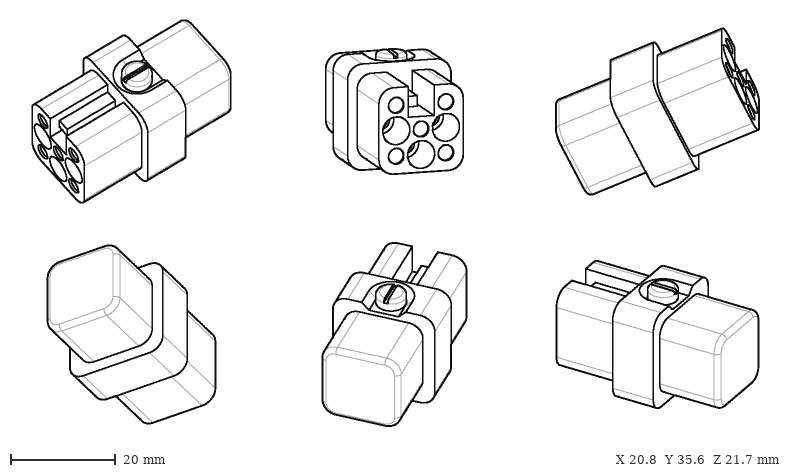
import cadquery as cq

LENGTH = 35.6
FRONT_LENGTH = 13.6
FLANGE_LENGTH = 9.0
FLANGE_SIZE = 20.8
FRONT_SIZE = 16.95
REAR_SIZE = 16.0
CORNER_RADIUS = 3.0
REAR_EDGE_FILLET = 1.0

flange_front = FRONT_LENGTH
flange_rear = flange_front + FLANGE_LENGTH
flange_top = FLANGE_SIZE / 2

SLOT_WIDTH = 5.15
SLOT_FLOOR_Z = 2.5
KEY_WIDTH = 2.53
KEY_HEIGHT = 2.05
KEY_BOTTOM_Z = 4.02
KEY_SETBACK = 2.17

PITCH = 5.0
SOCKET_DIAMETER = 5.4
SOCKET_DEPTH = 9.97
BORE_DIAMETER = 3.05
BORE_DEPTH = 2.15
BORE_CHAMFER = 0.32
DIMPLE_DEPTH = 0.5

SCREW_DIAMETER = 5.87
SCREW_PROTRUSION = 0.93
SCREW_FILLET = 0.7
SCREW_SLOT_WIDTH = 0.82
SCREW_SLOT_DEPTH = 0.7
SCREW_SETBACK = 3.95
RECESS_DEPTH = 1.5
RECESS_FLOOR_WIDTH = 6.0

screw_y = flange_rear - SCREW_SETBACK
recess_floor = flange_top - RECESS_DEPTH
recess_floor_radius = RECESS_FLOOR_WIDTH / 2
recess_top_radius = recess_floor_radius + RECESS_DEPTH

socket_points = [(-PITCH, 0), (PITCH, 0), (0, -PITCH)]
dimple_points = [(0, 0)] + [(x, z) for x in (-PITCH, PITCH) for z in (-PITCH, PITCH)]


def cross_section(y):
    """Sketch plane across the part at y, with local axes X and Z; extruding goes toward +Y."""
    return cq.Workplane(cq.Plane(origin=(0, y, 0), xDir=(1, 0, 0), normal=(0, -1, 0)))


def rounded_block(size, y_start, y_end):
    """Square bar between two Y positions with rounded long edges."""
    bar = cross_section(y_start).rect(size, size).extrude(y_start - y_end)
    return bar.edges("|Y").fillet(CORNER_RADIUS)


def box(x_range, y_range, z_range):
    """Box given by its limits along each axis."""
    sizes = [high - low for low, high in (x_range, y_range, z_range)]
    corner = (x_range[0], y_range[0], z_range[0])
    return cq.Workplane("XY").box(*sizes, centered=False).translate(corner)


def holes(points, diameter, y_start, depth):
    """Round holes along Y, opening at y_start."""
    return cross_section(y_start).pushPoints(points).circle(diameter / 2).extrude(-depth)


def housing():
    """Front block, flange and rear block joined end to end."""
    front = rounded_block(FRONT_SIZE, 0, flange_front)
    flange = rounded_block(FLANGE_SIZE, flange_front, flange_rear)
    rear = rounded_block(REAR_SIZE, flange_rear, LENGTH)
    rear = rear.faces(">Y").edges().fillet(REAR_EDGE_FILLET)
    return front.union(flange).union(rear)


def coding_slot():
    """Open-topped slot along the front block, less the key left standing on its wall."""
    half_width = SLOT_WIDTH / 2
    slot = box((-half_width, half_width), (0, flange_front), (SLOT_FLOOR_Z, FRONT_SIZE / 2))
    key = box(
        (-half_width, -half_width + KEY_WIDTH),
        (KEY_SETBACK, flange_front),
        (KEY_BOTTOM_Z, KEY_BOTTOM_Z + KEY_HEIGHT),
    )
    return slot.cut(key)


def sockets():
    """Deep contact holes, each with a chamfered smaller bore in its floor."""
    wide = holes(socket_points, SOCKET_DIAMETER, 0, SOCKET_DEPTH)
    bore = holes(socket_points, BORE_DIAMETER, SOCKET_DEPTH, BORE_DEPTH)
    mouth_radius = BORE_DIAMETER / 2 + BORE_CHAMFER
    mouth = (
        cross_section(SOCKET_DEPTH)
        .pushPoints(socket_points)
        .circle(mouth_radius)
        .extrude(-mouth_radius, taper=45)
    )
    return wide.union(bore).union(mouth)


def screw_recess():
    """Recess with sloping walls: a cone around the screw, continued to the rear of the flange."""
    cone = cq.Workplane("XY").add(
        cq.Solid.makeCone(
            recess_floor_radius, recess_top_radius, RECESS_DEPTH, cq.Vector(0, screw_y, recess_floor)
        )
    )
    channel = (
        cross_section(screw_y)
        .moveTo(-recess_floor_radius, recess_floor)
        .lineTo(recess_floor_radius, recess_floor)
        .lineTo(recess_top_radius, flange_top)
        .lineTo(-recess_top_radius, flange_top)
        .close()
        .extrude(-SCREW_SETBACK)
    )
    return cone.union(channel)


def screw_head():
    """Slotted cheese head standing on the recess floor."""
    height = RECESS_DEPTH + SCREW_PROTRUSION
    head = cq.Workplane("XY").circle(SCREW_DIAMETER / 2).extrude(height)
    head = head.faces(">Z").edges().fillet(SCREW_FILLET)
    reach = SCREW_DIAMETER / 2
    half_slot = SCREW_SLOT_WIDTH / 2
    slot = box((-half_slot, half_slot), (-reach, reach), (height - SCREW_SLOT_DEPTH, height))
    return head.cut(slot).translate((0, screw_y, recess_floor))


result = (
    housing()
    .cut(coding_slot())
    .cut(sockets())
    .cut(holes(dimple_points, BORE_DIAMETER, 0, DIMPLE_DEPTH))
    .cut(screw_recess())
    .union(screw_head())
)